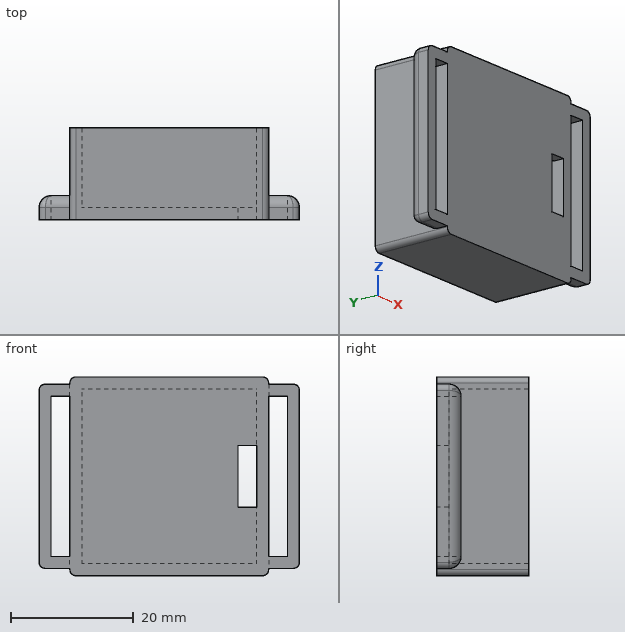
import cadquery as cq

box_side = 32.4
box_depth = 15.0
corner_radius = 1.0
wall = 2.0

flange_length = 42.4
flange_height = 30.0
flange_depth = 4.0
flange_edge_radius = 2.0

slot_width = 3.0
slot_height = 26.05

window_width = 3.0
window_height = 10.0


def block(width, depth, height, center_x=0):
    """Block centred in Z that starts at the front face and runs toward +Y."""
    body = cq.Workplane("XY").box(width, depth, height, centered=(True, False, True))
    return body.translate((center_x, 0, 0))


def make_box():
    return block(box_side, box_depth, box_side).edges("|Y").fillet(corner_radius)


def make_flange():
    flange = block(flange_length, flange_depth, flange_height)
    flange = flange.faces(">Y").edges().fillet(flange_edge_radius)
    return flange.edges("|Y").fillet(corner_radius)


result = make_box().union(make_flange())

cavity_side = box_side - 2 * wall
cavity = block(cavity_side, box_depth - wall, cavity_side).translate((0, wall, 0))
result = result.cut(cavity)

slot_center = (box_side + slot_width) / 2
for side in (-1, 1):
    result = result.cut(block(slot_width, flange_depth, slot_height, side * slot_center))

window_center = box_side / 2 - wall - window_width / 2
result = result.cut(block(window_width, wall, window_height, window_center))